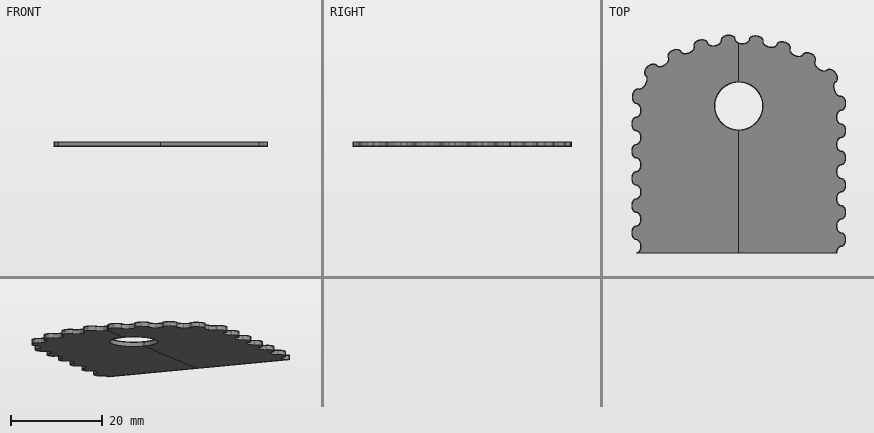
import cadquery as cq
import math

OVERALL_WIDTH = 46.85
THICKNESS = 1.0
TOOTH_HEIGHT = 1.95
CROWN_HEIGHT = 45.9
CROWN_RADIUS = 30.55
SHOULDER_RADIUS = 9.3
SCALLOP_COUNT = 40
HOLE_RADIUS = 5.25
HOLE_HEIGHT = 32.25

half_width = OVERALL_WIDTH / 2 - TOOTH_HEIGHT
crown_center_y = CROWN_HEIGHT - CROWN_RADIUS
shoulder_x = half_width - SHOULDER_RADIUS
shoulder_y = crown_center_y + math.sqrt((CROWN_RADIUS - SHOULDER_RADIUS) ** 2 - shoulder_x**2)
crown_half_angle = math.atan2(shoulder_x, shoulder_y - crown_center_y)
shoulder_end = shoulder_y + SHOULDER_RADIUS * (math.pi / 2 - crown_half_angle)
half_length = shoulder_end + CROWN_RADIUS * crown_half_angle

quarter_count = 2 * SCALLOP_COUNT + 1
pitch = 2 * half_length / (quarter_count / 2)
neck_offset = TOOTH_HEIGHT / 2


def edge_point(distance, offset):
    """Point a given distance along the root line from the left base, moved outward by the offset."""
    side = -1 if distance < half_length else 1
    climb = min(distance, 2 * half_length - distance)
    if climb < shoulder_y:
        x = half_width + offset
        y = climb
    elif climb < shoulder_end:
        angle = (climb - shoulder_y) / SHOULDER_RADIUS
        x = shoulder_x + (SHOULDER_RADIUS + offset) * math.cos(angle)
        y = shoulder_y + (SHOULDER_RADIUS + offset) * math.sin(angle)
    else:
        angle = (half_length - climb) / CROWN_RADIUS
        x = (CROWN_RADIUS + offset) * math.sin(angle)
        y = crown_center_y + (CROWN_RADIUS + offset) * math.cos(angle)
    return cq.Vector(side * x, y, 0)


def scallop_quarter(index):
    """Quarter ellipse between a neck and an extreme point; two make a scallop, valley first, then tooth."""
    scallop = index // 2
    is_tooth = scallop % 2 == 1
    is_second_quarter = index % 2 == 1
    start = edge_point(scallop * pitch, neck_offset)
    end = edge_point((scallop + 1) * pitch, neck_offset)
    extreme = edge_point((scallop + 0.5) * pitch, TOOTH_HEIGHT if is_tooth else 0)
    center = (start + end) * 0.5
    start_angle = 90 if is_second_quarter else 0
    return cq.Edge.makeEllipse(
        (start - center).Length,
        (extreme - center).Length,
        center,
        cq.Vector(0, 0, -1 if is_tooth else 1),
        start - center,
        start_angle,
        start_angle + 90,
    )


def scalloped_plate():
    """Whole plate with its scalloped edge and round hole."""
    edges = [scallop_quarter(index) for index in range(quarter_count)]
    edges.append(cq.Edge.makeLine(edges[-1].endPoint(), edges[0].startPoint()))
    outline = cq.Wire.assembleEdges(edges)
    blank = cq.Workplane("XY").add(cq.Solid.extrudeLinear(outline, [], cq.Vector(0, 0, THICKNESS)))
    hole = cq.Workplane("XY").center(0, HOLE_HEIGHT).circle(HOLE_RADIUS).extrude(THICKNESS)
    return blank.cut(hole)


def half_plate(side):
    """Part of the plate on one side of the centre seam: -1 for left, 1 for right."""
    region_size = 2 * (CROWN_HEIGHT + TOOTH_HEIGHT)
    region = (
        cq.Workplane("XY")
        .center(side * region_size / 2, 0)
        .rect(region_size, region_size)
        .extrude(THICKNESS)
    )
    return scalloped_plate().intersect(region).solids()


left_half = half_plate(-1)
right_half = half_plate(1)

result = cq.Compound.makeCompound([left_half.val(), right_half.val()])